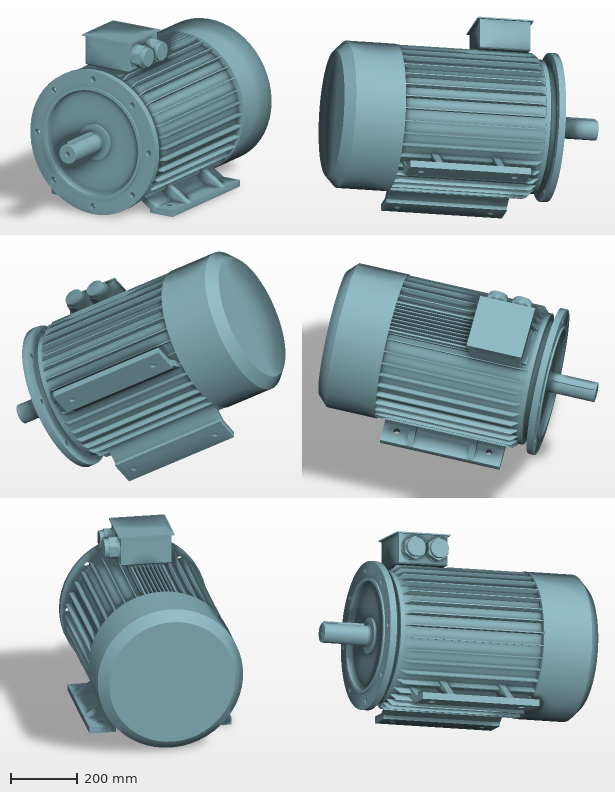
import cadquery as cq
import math


FLANGE_DIAMETER = 450.0
FLANGE_THICKNESS = 20.0
BOLT_CIRCLE_DIAMETER = 400.0
BOLT_HOLE_DIAMETER = 19.0
BOLT_COUNT = 8
SPIGOT_DIAMETER = 350.0
SPIGOT_HEIGHT = 5.0
RECESS_DIAMETER = 330.0
RECESS_DEPTH = 20.0
RECESS_FILLET = 10.0
BEARING_BOSS_DIAMETER = 110.0
BEARING_BOSS_HEIGHT = 8.0

NECK_DIAMETER = SPIGOT_DIAMETER
NECK_FILLET = 10.0
COLLAR_DIAMETER = 405.0
COLLAR_FRONT_Y = 41.5
COLLAR_BACK_Y = 55.0

SHAFT_DIAMETER = 60.0
SHAFT_END_DIAMETER = 58.0
SHAFT_END_Y = -140.0
SHOULDER_DIAMETER = 67.0
SHOULDER_FACE_DIAMETER = 65.0
SHOULDER_HEIGHT = 3.0
CENTER_HOLE_DIAMETER = 17.0
CENTER_HOLE_DEPTH = 24.5
DRILL_POINT_ANGLE = 120
KEY_WIDTH = 18.0
KEY_LENGTH = 132.0
KEY_END_GAP = 4.0
KEY_TOP_Z = 34.0

CORE_DIAMETER = 400.0
FIN_TIP_RADIUS = 220.0
FIN_THICKNESS = 3.0
FIN_PITCH_ANGLE = 10
ROOT_OVERLAP = 4.0
COWL_DIAMETER = 445.0
COWL_FRONT_Y = 491.5
COWL_BACK_Y = 675.0
COWL_CHAMFER = 30.0

SEAT_WIDTH = 106.0
SEAT_TOP_Z = 200.5
TOP_ANGLE = 90
SEAT_FRONT_Y = 63.0
RIB_PITCH = 12.0
RIB_COUNT = 7
RIB_THICKNESS = 2.5
RIB_FRONT_Y = 251.0
SIDE_RIB_THICKNESS = 5.0
SIDE_RIB_X = 48.0

BOX_CENTER_Y = 156.5
BOX_WIDTH = 156.0
BOX_BOTTOM_Z = 213.0
BOX_BOTTOM_CHAMFER = 4.0
LID_WIDTH = 170.0
LID_THICKNESS = 4.0
LID_TOP_Z = 309.0

GLAND_SPACING = 75.0
GLAND_CENTER_Z = 258.0
GLAND_BODY_DIAMETER = 68.5
GLAND_HEX_FLATS = 62.0
GLAND_BASE_LENGTH = 6.0
GLAND_HEX_LENGTH = 26.0
GLAND_CAP_DIAMETER = 58.0
GLAND_END_X = 124.0
GLAND_CAP_TAPER_LENGTH = 6.0
GLAND_CAP_TAPER_DEPTH = 1.0

FOOT_BOTTOM_Z = -FLANGE_DIAMETER / 2
FOOT_THICKNESS = 20.0
FOOT_OUTER_X = 218.0
FOOT_INNER_X = 137.0
FOOT_BEND_X = 158.0
FOOT_INNER_HEIGHT = 11.5
FOOT_FRONT_Y = 106.0
FOOT_LENGTH = 372.0
FOOT_CENTER_Y = FOOT_FRONT_Y + FOOT_LENGTH / 2
ARM_ANGLE = 33.5
ARM_END_X = 90.0
GUSSET_THICKNESS = 19.5
GUSSET_SPACING = 189.0
FOOT_HOLE_DIAMETER = 19.0
FOOT_HOLE_X = 178.0
FOOT_HOLE_SPACING = 286.0


def y_cylinder(diameter, y_start, y_end):
    """Solid cylinder on the motor axis between two Y stations."""
    return cq.Workplane("XZ", origin=(0, y_start, 0)).circle(diameter / 2).extrude(y_start - y_end)


def make_flange():
    """Flange, spigot and filleted neck, with the front recess, boss and bolt holes."""
    neck = y_cylinder(NECK_DIAMETER, FLANGE_THICKNESS, COLLAR_FRONT_Y)
    collar = y_cylinder(COLLAR_DIAMETER, COLLAR_FRONT_Y, COLLAR_BACK_Y)
    flange = y_cylinder(FLANGE_DIAMETER, 0, FLANGE_THICKNESS).union(neck).union(collar)
    neck_corners = cq.selectors.RadiusNthSelector(0)
    flange = flange.edges("%CIRCLE").edges(neck_corners).fillet(NECK_FILLET)

    floor_y = RECESS_DEPTH - SPIGOT_HEIGHT
    recess = y_cylinder(RECESS_DIAMETER, -SPIGOT_HEIGHT, floor_y).edges(">Y").fillet(RECESS_FILLET)
    boss = y_cylinder(BEARING_BOSS_DIAMETER, floor_y - BEARING_BOSS_HEIGHT, floor_y)
    flange = flange.union(y_cylinder(SPIGOT_DIAMETER, -SPIGOT_HEIGHT, 0)).cut(recess).union(boss)

    bolt_holes = (
        cq.Workplane("XZ")
        .polarArray(BOLT_CIRCLE_DIAMETER / 2, 0, 360, BOLT_COUNT)
        .circle(BOLT_HOLE_DIAMETER / 2)
        .extrude(-FLANGE_THICKNESS)
    )
    return flange.cut(bolt_holes)


def make_shaft():
    """Shaft with a shoulder at the boss, a centre hole and a round-ended key."""
    root_y = RECESS_DEPTH - SPIGOT_HEIGHT - BEARING_BOSS_HEIGHT
    end_chamfer = (SHAFT_DIAMETER - SHAFT_END_DIAMETER) / 2
    shoulder_chamfer = (SHOULDER_DIAMETER - SHOULDER_FACE_DIAMETER) / 2
    shaft = y_cylinder(SHAFT_DIAMETER, SHAFT_END_Y, root_y).edges("<Y").chamfer(end_chamfer)
    shoulder = y_cylinder(SHOULDER_DIAMETER, root_y - SHOULDER_HEIGHT, root_y)
    shaft = shaft.union(shoulder.edges("<Y").chamfer(shoulder_chamfer))

    hole_radius = CENTER_HOLE_DIAMETER / 2
    point_length = hole_radius / math.tan(math.radians(DRILL_POINT_ANGLE / 2))
    hole_bottom_y = SHAFT_END_Y + CENTER_HOLE_DEPTH
    hole = (
        cq.Workplane("XY")
        .moveTo(0, SHAFT_END_Y)
        .lineTo(hole_radius, SHAFT_END_Y)
        .lineTo(hole_radius, hole_bottom_y)
        .lineTo(0, hole_bottom_y + point_length)
        .close()
        .revolve(360, (0, 0, 0), (0, 1, 0))
    )

    key_center_y = SHAFT_END_Y + KEY_END_GAP + KEY_LENGTH / 2
    key_bottom_z = SHAFT_DIAMETER / 4
    key = (
        cq.Workplane("XY", origin=(0, key_center_y, key_bottom_z))
        .slot2D(KEY_LENGTH, KEY_WIDTH, 90)
        .extrude(KEY_TOP_Z - key_bottom_z)
    )
    return shaft.cut(hole).union(key)


def make_radial_fins():
    """Radial cooling fins with sloped front ends, all round except over the terminal seat."""
    root_radius = CORE_DIAMETER / 2 - ROOT_OVERLAP
    collar_radius = COLLAR_DIAMETER / 2
    fin = (
        cq.Workplane("XY", origin=(0, 0, -FIN_THICKNESS / 2))
        .moveTo(root_radius, COLLAR_BACK_Y)
        .lineTo(collar_radius, COLLAR_BACK_Y)
        .lineTo(FIN_TIP_RADIUS, COLLAR_BACK_Y + FIN_TIP_RADIUS - collar_radius)
        .lineTo(FIN_TIP_RADIUS, COWL_FRONT_Y)
        .lineTo(root_radius, COWL_FRONT_Y)
        .close()
        .extrude(FIN_THICKNESS)
    )
    fins = []
    for angle in range(0, 360, FIN_PITCH_ANGLE):
        over_seat = abs(angle - TOP_ANGLE) <= FIN_PITCH_ANGLE
        if not over_seat:
            fins.append(fin.rotate((0, 0, 0), (0, 1, 0), -angle))
    return fins


def make_seat_rib(x_center, thickness):
    """Upright rib on the seat, reaching the fin tip circle, with a 45 degree front end."""
    top_z = math.sqrt(FIN_TIP_RADIUS ** 2 - x_center ** 2)
    bottom_z = SEAT_TOP_Z - ROOT_OVERLAP
    return (
        cq.Workplane("YZ", origin=(x_center - thickness / 2, 0, 0))
        .moveTo(RIB_FRONT_Y, top_z)
        .lineTo(COWL_FRONT_Y, top_z)
        .lineTo(COWL_FRONT_Y, bottom_z)
        .lineTo(RIB_FRONT_Y - (top_z - bottom_z), bottom_z)
        .close()
        .extrude(thickness)
    )


def make_frame():
    """Frame core with its fins, the ribbed terminal seat and the fan cowl."""
    frame = y_cylinder(CORE_DIAMETER, COLLAR_BACK_Y, COWL_FRONT_Y)
    cowl = y_cylinder(COWL_DIAMETER, COWL_FRONT_Y, COWL_BACK_Y).edges(">Y").chamfer(COWL_CHAMFER)
    frame = frame.union(cowl)
    seat = cq.Workplane("XY", origin=(0, SEAT_FRONT_Y, 0)).box(
        SEAT_WIDTH, COWL_FRONT_Y - SEAT_FRONT_Y, SEAT_TOP_Z, centered=(True, False, False)
    )
    frame = frame.union(seat)
    for fin in make_radial_fins():
        frame = frame.union(fin)
    for index in range(RIB_COUNT):
        rib_x = (index - (RIB_COUNT - 1) / 2) * RIB_PITCH
        frame = frame.union(make_seat_rib(rib_x, RIB_THICKNESS))
    for rib_x in (-SIDE_RIB_X, SIDE_RIB_X):
        frame = frame.union(make_seat_rib(rib_x, SIDE_RIB_THICKNESS))
    return frame


def make_gland(y_center):
    """Cable gland: round base, hexagon with rounded corners, and a round end cap."""
    start_x = BOX_WIDTH / 2
    base_plane = cq.Workplane("YZ", origin=(start_x, y_center, GLAND_CENTER_Z))
    hex_plane = base_plane.workplane(offset=GLAND_BASE_LENGTH)
    base = base_plane.circle(GLAND_BODY_DIAMETER / 2).extrude(GLAND_BASE_LENGTH)
    hex_corner_diameter = GLAND_HEX_FLATS / math.cos(math.pi / 6)
    hexagon = hex_plane.transformed(rotate=(0, 0, 90)).polygon(6, hex_corner_diameter)
    hexagon = hexagon.extrude(GLAND_HEX_LENGTH)
    hexagon = hexagon.intersect(hex_plane.circle(GLAND_BODY_DIAMETER / 2).extrude(GLAND_HEX_LENGTH))
    cap = base_plane.circle(GLAND_CAP_DIAMETER / 2).extrude(GLAND_END_X - start_x)
    cap = cap.faces(">X").chamfer(GLAND_CAP_TAPER_LENGTH, GLAND_CAP_TAPER_DEPTH)
    return base.union(hexagon).union(cap)


def make_terminal_box():
    """Terminal box with overhanging lid and two glands, on a square neck above the seat."""
    neck = cq.Workplane("XY", origin=(0, BOX_CENTER_Y, SEAT_TOP_Z))
    neck = neck.rect(SEAT_WIDTH, SEAT_WIDTH).extrude(BOX_BOTTOM_Z - SEAT_TOP_Z)
    body = cq.Workplane("XY", origin=(0, BOX_CENTER_Y, BOX_BOTTOM_Z))
    body = body.rect(BOX_WIDTH, BOX_WIDTH).extrude(LID_TOP_Z - BOX_BOTTOM_Z)
    body = body.faces("<Z").chamfer(BOX_BOTTOM_CHAMFER)
    lid = cq.Workplane("XY", origin=(0, BOX_CENTER_Y, LID_TOP_Z - LID_THICKNESS))
    lid = lid.rect(LID_WIDTH, LID_WIDTH).extrude(LID_THICKNESS)
    box = neck.union(body).union(lid)
    for offset in (-GLAND_SPACING / 2, GLAND_SPACING / 2):
        box = box.union(make_gland(BOX_CENTER_Y + offset))
    return box


def make_foot():
    """The +X foot: drilled base plate with a sloped arm into the frame and two gussets."""
    slope = math.tan(math.radians(ARM_ANGLE))
    plate_top_z = FOOT_BOTTOM_Z + FOOT_THICKNESS
    inner_z = FOOT_BOTTOM_Z + FOOT_INNER_HEIGHT
    foot = (
        cq.Workplane("XZ", origin=(0, FOOT_FRONT_Y, 0))
        .moveTo(FOOT_OUTER_X, FOOT_BOTTOM_Z)
        .lineTo(FOOT_OUTER_X, plate_top_z)
        .lineTo(FOOT_BEND_X, plate_top_z)
        .lineTo(ARM_END_X, plate_top_z + (FOOT_BEND_X - ARM_END_X) * slope)
        .lineTo(ARM_END_X, inner_z + (FOOT_INNER_X - ARM_END_X) * slope)
        .lineTo(FOOT_INNER_X, inner_z)
        .lineTo(FOOT_INNER_X, FOOT_BOTTOM_Z)
        .close()
        .extrude(-FOOT_LENGTH)
    )
    gusset_profile = [
        (FOOT_OUTER_X, plate_top_z),
        (ARM_END_X, plate_top_z + (FOOT_OUTER_X - ARM_END_X) * slope),
        (ARM_END_X, plate_top_z + (FOOT_BEND_X - ARM_END_X) * slope),
        (FOOT_BEND_X, plate_top_z),
    ]
    for side in (-1, 1):
        front_y = FOOT_CENTER_Y + (side * GUSSET_SPACING - GUSSET_THICKNESS) / 2
        gusset = cq.Workplane("XZ", origin=(0, front_y, 0)).polyline(gusset_profile).close()
        foot = foot.union(gusset.extrude(-GUSSET_THICKNESS))
    holes = (
        cq.Workplane("XY", origin=(FOOT_HOLE_X, FOOT_CENTER_Y, FOOT_BOTTOM_Z))
        .rarray(8, FOOT_HOLE_SPACING, 1, 2)
        .circle(FOOT_HOLE_DIAMETER / 2)
        .extrude(FOOT_THICKNESS)
    )
    return foot.cut(holes)


foot = make_foot()
result = make_frame().union(make_flange()).union(make_shaft()).union(make_terminal_box())
result = result.union(foot).union(foot.mirror("YZ"))